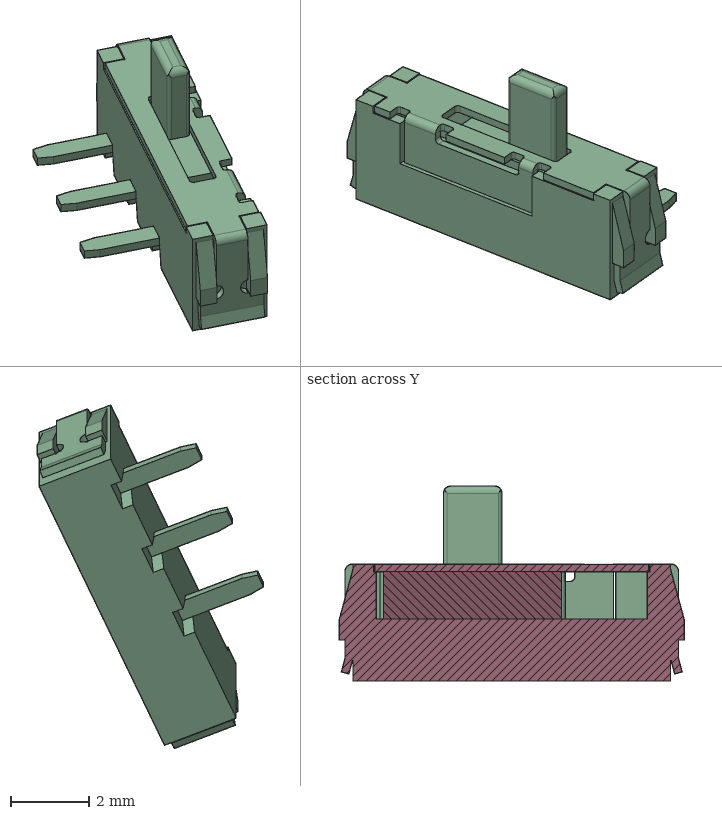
import cadquery as cq
import math


body_length = 8.14
body_width = 2.0
body_height = 3.0
sheet = 0.2
bend_radius = 0.195
gap = 0.03

pitch = 2.0
knob_length = 1.505
knob_width = 0.6
knob_height = 2.0
knob_clearance = 0.1
knob_corner_radius = 0.1
knob_top_radius = 0.195
slide_length = 4.74
slide_x = -pitch / 2
slide_corner_radius = 0.1

cavity_width = 1.36
cavity_floor_z = 1.59
cavity_length = slide_length + pitch + 2 * knob_clearance

cover_width = 1.92
corner_post_length = 0.54
tongue_width = 0.85
slot_width = 0.7
slot_corner_radius = 0.1

leg_foot_width = 1.7
leg_flare_z = 0.58
leg_flare_length = 0.36
leg_flare_angle = math.radians(15)
relief_radius = 0.22
wedge_projection = 0.35
wedge_outer_y = 0.9
wedge_top_z = body_height - 0.13
wedge_crest_z = body_height - 1.43
wedge_bottom_z = body_height - 1.95

neck_spans = [(-1.505, -1.05), (1.61, 2.61)]
notch_length = 0.4
notch_bottom_y = 0.6
notch_corner_radius = 0.07
recess_clearance = 0.05
window_floor_z = body_height - 0.44
window_corner_radius = 0.11

pin_width = 0.51
pin_thickness = 0.24
pin_bottom_z = 0.66
pin_length = 2.0
pin_tip_length = 0.41
pin_tip_width = 0.37
pin_notch_width = 0.74
pin_notch_depth = 0.29

half_length = body_length / 2
half_width = body_width / 2
ledge_z = body_height - sheet
post_inner_x = half_length - corner_post_length
post_inner_y = tongue_width / 2 + gap
plate_inner_y = cavity_width / 2
plate_outer_y = plate_inner_y + sheet
plate_left = neck_spans[0][0]
plate_right = neck_spans[1][1]
window_left = neck_spans[0][1]
window_right = neck_spans[1][0]
pin_xs = [(i - 1.5) * pitch for i in range(3)]


def block(x_min, x_max, y_min, y_max, z_min, z_max):
    """Box between the given limits."""
    return cq.Workplane("XY").box(
        x_max - x_min, y_max - y_min, z_max - z_min, centered=False
    ).translate((x_min, y_min, z_min))


def profile_xz(y_max):
    """Workplane with local x = X and y = Z; positive extrusion runs toward -Y from y_max."""
    return cq.Workplane("XZ", origin=(0, y_max, 0))


def mirrored_ends(right_part):
    """The part at the +X end together with its copy at the -X end."""
    return right_part.union(right_part.mirror("YZ"))


def base():
    """Hollow block with four corner posts, a cover ledge and a recess for the rear plate."""
    shell = block(-half_length, half_length, -half_width, half_width, 0, ledge_z)
    for x_side in (-1, 1):
        for y_side in (-1, 1):
            post = cq.Workplane("XY").box(
                corner_post_length, half_width - post_inner_y, body_height, centered=(True, True, False)
            )
            post_x = x_side * (half_length + post_inner_x) / 2
            post_y = y_side * (half_width + post_inner_y) / 2
            shell = shell.union(post.translate((post_x, post_y, 0)))
    cavity = block(
        -cavity_length / 2, cavity_length / 2,
        -cavity_width / 2, cavity_width / 2,
        cavity_floor_z, ledge_z,
    )
    rear_recess = block(
        plate_left - recess_clearance, plate_right + recess_clearance,
        plate_inner_y, half_width,
        cavity_floor_z, ledge_z,
    )
    return shell.cut(cavity).cut(rear_recess)


def snap_wedges():
    """Two wedges on each end face, one on each side of the folded tongue."""
    wedge_width = wedge_outer_y - post_inner_y
    wedges = cq.Workplane("XY")
    for y_max in (wedge_outer_y, -post_inner_y):
        wedge = (
            profile_xz(y_max)
            .moveTo(half_length, wedge_top_z)
            .lineTo(half_length + wedge_projection, wedge_crest_z)
            .lineTo(half_length + wedge_projection, wedge_bottom_z)
            .lineTo(half_length, wedge_bottom_z)
            .close()
            .extrude(wedge_width)
        )
        wedges = wedges.add(wedge)
    return mirrored_ends(wedges.combine())


def cover_top():
    """Flat top of the cover with the actuator slot and the notches beside the rear necks."""
    inner_x = post_inner_x - gap
    sheet_top = block(-inner_x, inner_x, -cover_width / 2, cover_width / 2, ledge_z, body_height)
    tongue = block(
        -half_length, half_length, -tongue_width / 2, tongue_width / 2, ledge_z, body_height
    )
    slot = (
        cq.Workplane("XY", origin=(0, 0, ledge_z))
        .rect(knob_length + pitch + 2 * knob_clearance, slot_width)
        .extrude(sheet)
        .edges("|Z")
        .fillet(slot_corner_radius)
    )
    top = sheet_top.union(tongue).cut(slot)
    for neck_left, neck_right in neck_spans:
        for notch_left in (neck_left - notch_length, neck_right):
            notch = block(
                notch_left, notch_left + notch_length, notch_bottom_y, half_width, ledge_z, body_height
            ).edges("|Z and <Y").fillet(notch_corner_radius)
            top = top.cut(notch)
        neck_edge = block(neck_left, neck_right, plate_inner_y, half_width, ledge_z, body_height)
        top = top.cut(neck_edge)
    return top


def end_legs():
    """Legs folded down at both ends, widening below the wedges and flared at the bottom."""
    outer_x = half_length + sheet
    flare_x = leg_flare_length * math.sin(leg_flare_angle)
    flare_z = leg_flare_length * math.cos(leg_flare_angle)
    tip_x = sheet * math.cos(leg_flare_angle)
    tip_z = sheet * math.sin(leg_flare_angle)
    inner_flare_z = leg_flare_z - sheet * math.tan(leg_flare_angle / 2)
    outer_tip = (outer_x + flare_x, leg_flare_z - flare_z)
    leg = (
        profile_xz(leg_foot_width / 2)
        .moveTo(half_length, body_height)
        .lineTo(outer_x - bend_radius, body_height)
        .radiusArc((outer_x, body_height - bend_radius), bend_radius)
        .lineTo(outer_x, leg_flare_z)
        .lineTo(*outer_tip)
        .lineTo(outer_tip[0] - tip_x, outer_tip[1] - tip_z)
        .lineTo(half_length, inner_flare_z)
        .close()
        .extrude(leg_foot_width)
    )
    for side in (-1, 1):
        shoulder_y = sorted((side * tongue_width / 2, side * half_width))
        shoulder = block(half_length, outer_x, *shoulder_y, wedge_bottom_z, body_height)
        relief = (
            cq.Workplane("YZ", origin=(half_length, 0, 0))
            .center(side * post_inner_y, wedge_bottom_z + relief_radius)
            .circle(relief_radius)
            .extrude(sheet)
        )
        leg = leg.cut(shoulder).cut(relief)
    return mirrored_ends(leg)


def rear_plate():
    """Plate folded down into the rear recess, with a window between its two necks."""
    plate = (
        cq.Workplane("YZ", origin=(plate_left, 0, 0))
        .moveTo(plate_inner_y, cavity_floor_z)
        .lineTo(plate_inner_y, body_height)
        .lineTo(plate_outer_y - bend_radius, body_height)
        .radiusArc((plate_outer_y, body_height - bend_radius), bend_radius)
        .lineTo(plate_outer_y, cavity_floor_z)
        .close()
        .extrude(plate_right - plate_left)
    )
    window = block(
        window_left, window_right, plate_inner_y, plate_outer_y, window_floor_z, body_height
    ).edges("|Y and <Z").fillet(window_corner_radius)
    return plate.cut(window)


def pin_notch(x):
    """Notch below a pin in the front face, flaring toward the bottom edge."""
    return (
        profile_xz(-half_width + pin_notch_depth)
        .moveTo(x - pin_notch_width / 2, 0)
        .lineTo(x - pin_width / 2, pin_bottom_z)
        .lineTo(x + pin_width / 2, pin_bottom_z)
        .lineTo(x + pin_notch_width / 2, 0)
        .close()
        .extrude(pin_notch_depth)
    )


def pin(x):
    """Flat pin with a tapered tip, rooted in the back of its notch."""
    tip_y = -half_width - pin_length
    taper_y = tip_y + pin_tip_length
    root_y = -half_width + pin_notch_depth
    return (
        cq.Workplane("XY", origin=(x, 0, pin_bottom_z))
        .moveTo(-pin_width / 2, root_y)
        .lineTo(-pin_width / 2, taper_y)
        .lineTo(-pin_tip_width / 2, tip_y)
        .lineTo(pin_tip_width / 2, tip_y)
        .lineTo(pin_width / 2, taper_y)
        .lineTo(pin_width / 2, root_y)
        .close()
        .extrude(pin_thickness)
    )


def make_housing():
    """Fixed body: base, snap wedges, folded cover and pins."""
    body = base().union(snap_wedges()).union(cover_top()).union(end_legs()).union(rear_plate())
    for x in pin_xs:
        body = body.cut(pin_notch(x)).union(pin(x))
    return body


def make_knob():
    """Knob with rounded vertical edges and a rounded top whose rounds meet in mitres."""
    height = sheet + knob_height

    def bar():
        return cq.Workplane("XY").box(knob_length, knob_width, height, centered=(True, True, False))

    upright = bar().edges("|Z").fillet(knob_corner_radius)
    long_rounds = bar().edges("|X and >Z").fillet(knob_top_radius)
    short_rounds = bar().edges("|Y and >Z").fillet(knob_top_radius)
    return upright.intersect(long_rounds).intersect(short_rounds).translate((slide_x, 0, ledge_z))


def make_actuator():
    """Sliding block inside the cavity with the knob that rises through the slot."""
    slide_height = ledge_z - cavity_floor_z
    slide = (
        cq.Workplane("XY")
        .box(slide_length, cavity_width, slide_height, centered=(True, True, False))
        .edges("|Z")
        .fillet(slide_corner_radius)
        .translate((slide_x, 0, cavity_floor_z))
    )
    return slide.union(make_knob())


housing = make_housing()
actuator = make_actuator()
result = cq.Compound.makeCompound([housing.val(), actuator.val()])